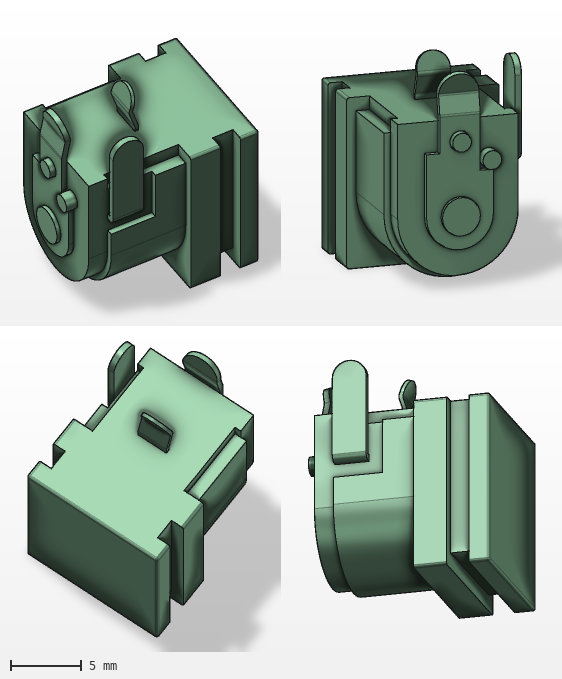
import cadquery as cq


FLANGE_WIDTH = 11.4
HEIGHT = 12.6
FLANGE_DEPTH = 5.6
FLANGE_EDGE_RADIUS = 0.2
SLOT_START = 1.5
SLOT_END = 3.18
SLOT_CORE_WIDTH = 9.3
SLOT_FLOOR = 1.2

AXIS_Z = 5.6
BODY_RADIUS = 4.5
RAIL_RADIUS = 5.0
BODY_DEPTH = 13.3
RAIL_DEPTH = 11.75
RAIL_TOP = 11.6
NECK_WIDTH = 8.0
SIDE_NOTCH_START = 8.1
SIDE_NOTCH_FLOOR = 7.63

PLATE_SHEET = 0.45
PLATE_RADIUS = 2.5
PLATE_LEFT_SHOULDER = 10.3
PLATE_RIGHT_SHOULDER = 8.81
TAB_RADIUS = 1.5
TAB_TOP = 16.07
TAB_LEAN = 0.29
TAB_BEND_LOW = 13.05
TAB_BEND_HIGH = 14.55
TAB_BEND_RADIUS = 0.4
SIDE_TAB_WIDTH = 2.5
SIDE_TAB_INSIDE = 4.78
SIDE_TAB_SHEET = 0.5
SIDE_TAB_FOOT = 8.75
SIDE_TAB_TOP = 16.2
CONTACT_SHEET = 0.3
CONTACT_RADIUS = 1.25
CONTACT_REAR = 7.25
CONTACT_LEAN = 0.5
CONTACT_BEND_LOW = 13.04
CONTACT_BEND_HIGH = 14.6
CONTACT_TOP = 16.1
CONTACT_BEND_RADIUS = 0.32
EMBED = 0.49

PIN_RADIUS = 0.7
PIN_TIP = 14.2
PIN_HOLE_RADIUS = 0.75
UPPER_PIN_Z = 11.1
SIDE_PIN_X = 2.27
SIDE_PIN_Z = 9.6
RIVET_RADIUS = 1.41
RIVET_DEPTH = 0.32

PLATE_FRONT = BODY_DEPTH + PLATE_SHEET


def block(x_min, x_max, start, end, z_min, z_max):
    """Box between two depths measured forward from the rear face."""
    size = (x_max - x_min, end - start, z_max - z_min)
    return cq.Workplane("XY").box(*size, centered=False).translate((x_min, -end, z_min))


def front_cylinder(x, z, radius, start, end):
    """Cylinder along Y between two depths."""
    plane = cq.Workplane("XZ", origin=(x, -start, z))
    return plane.circle(radius).extrude(end - start)


def u_prism(radius, start, end, top):
    """Prism with a half-round bottom about the body axis and a flat top."""
    return (
        cq.Workplane("XZ", origin=(0, -start, 0))
        .moveTo(-radius, top)
        .lineTo(-radius, AXIS_Z)
        .threePointArc((0, AXIS_Z - radius), (radius, AXIS_Z))
        .lineTo(radius, top)
        .close()
        .extrude(end - start)
    )


def make_flange():
    half = FLANGE_WIDTH / 2
    core = SLOT_CORE_WIDTH / 2
    flange = block(-half, half, 0, FLANGE_DEPTH, 0, HEIGHT)
    flange = flange.edges("|Y or >Y").fillet(FLANGE_EDGE_RADIUS)
    slot = block(-half, half, SLOT_START, SLOT_END, 0, HEIGHT)
    slot = slot.cut(block(-core, core, SLOT_START, SLOT_END, SLOT_FLOOR, HEIGHT))
    return flange.cut(slot)


def make_body():
    body = u_prism(BODY_RADIUS, FLANGE_DEPTH, BODY_DEPTH, HEIGHT)
    rail = u_prism(RAIL_RADIUS, FLANGE_DEPTH, RAIL_DEPTH, RAIL_TOP)
    body = body.union(rail)
    for side in (-1, 1):
        inner, outer = sorted((side * NECK_WIDTH / 2, side * RAIL_RADIUS))
        body = body.cut(block(inner, outer, FLANGE_DEPTH, RAIL_DEPTH, RAIL_TOP, HEIGHT))
    side_notch = block(BODY_RADIUS, RAIL_RADIUS, SIDE_NOTCH_START, RAIL_DEPTH, SIDE_NOTCH_FLOOR, RAIL_TOP)
    return body.cut(side_notch)


def bent_tab(rear, sheet, base, bend_low, bend_high, top, lean, radius, bend_radius):
    """Upright sheet leaning by `lean` (along Y) at its upper bend and back again, with a round tip."""
    slope = lean / (bend_high - bend_low)
    tip_lean = lean - slope * (top - bend_high)
    overshoot = sheet
    path = [
        (0, base),
        (0, bend_low),
        (lean, bend_high),
        (tip_lean - slope * overshoot, top + overshoot),
    ]
    rear_edge = [(y - rear, z) for y, z in path]
    front_edge = [(y - sheet, z) for y, z in rear_edge]
    tab = (
        cq.Workplane("YZ")
        .polyline(rear_edge + front_edge[::-1])
        .close()
        .extrude(radius, both=True)
    )
    hollow, full = (rear_edge, front_edge) if lean > 0 else (front_edge, rear_edge)
    corners = [
        (hollow[1], bend_radius),
        (full[1], bend_radius + sheet),
        (full[2], bend_radius),
        (hollow[2], bend_radius + sheet),
    ]
    for (y, z), corner_radius in corners:
        tab = tab.edges("|X").edges(cq.NearestToPointSelector((0, y, z))).fillet(corner_radius)

    along = cq.Vector(0, tip_lean - lean, top - bend_high).normalized()
    tip = cq.Vector(0, tip_lean - rear - sheet / 2, top)
    plane = cq.Plane(origin=tip, xDir=(1, 0, 0), normal=cq.Vector(1, 0, 0).cross(along))
    length = 2 * (top - base)
    outline = (
        cq.Workplane(plane)
        .moveTo(-radius, -length)
        .lineTo(-radius, -radius)
        .threePointArc((0, 0), (radius, -radius))
        .lineTo(radius, -length)
        .close()
        .extrude(length, both=True)
    )
    return tab.intersect(outline)


def make_front_terminal():
    plate = u_prism(PLATE_RADIUS, BODY_DEPTH, PLATE_FRONT, PLATE_LEFT_SHOULDER)
    plate = plate.cut(
        block(TAB_RADIUS, PLATE_RADIUS, BODY_DEPTH, PLATE_FRONT, PLATE_RIGHT_SHOULDER, PLATE_LEFT_SHOULDER)
    )
    tab = bent_tab(
        BODY_DEPTH, PLATE_SHEET, AXIS_Z, TAB_BEND_LOW, TAB_BEND_HIGH,
        TAB_TOP, TAB_LEAN, TAB_RADIUS, TAB_BEND_RADIUS,
    )
    terminal = plate.union(tab)
    return terminal.cut(front_cylinder(0, UPPER_PIN_Z, PIN_HOLE_RADIUS, BODY_DEPTH, PLATE_FRONT))


def make_contact():
    return bent_tab(
        CONTACT_REAR, CONTACT_SHEET, HEIGHT - EMBED, CONTACT_BEND_LOW, CONTACT_BEND_HIGH,
        CONTACT_TOP, -CONTACT_LEAN, CONTACT_RADIUS, CONTACT_BEND_RADIUS,
    )


def make_side_terminal():
    outside = SIDE_TAB_INSIDE + SIDE_TAB_SHEET
    start = RAIL_DEPTH - SIDE_TAB_WIDTH
    radius = SIDE_TAB_WIDTH / 2
    upright = (
        cq.Workplane("YZ", origin=(SIDE_TAB_INSIDE, -start - radius, 0))
        .moveTo(-radius, SIDE_TAB_FOOT)
        .lineTo(-radius, SIDE_TAB_TOP - radius)
        .threePointArc((0, SIDE_TAB_TOP), (radius, SIDE_TAB_TOP - radius))
        .lineTo(radius, SIDE_TAB_FOOT)
        .close()
        .extrude(SIDE_TAB_SHEET)
    )
    foot_top = SIDE_TAB_FOOT + SIDE_TAB_SHEET
    foot = block(BODY_RADIUS - EMBED, outside, start, RAIL_DEPTH, SIDE_TAB_FOOT, foot_top)
    return upright.union(foot).edges("|Y and >X and <Z").fillet(SIDE_TAB_SHEET)


result = make_flange().union(make_body())
result = result.union(make_front_terminal())
result = result.union(make_contact())
result = result.union(make_side_terminal())
result = result.union(front_cylinder(0, UPPER_PIN_Z, PIN_RADIUS, BODY_DEPTH, PIN_TIP))
result = result.union(front_cylinder(SIDE_PIN_X, SIDE_PIN_Z, PIN_RADIUS, BODY_DEPTH, PIN_TIP))
result = result.union(front_cylinder(0, AXIS_Z, RIVET_RADIUS, PLATE_FRONT, PLATE_FRONT + RIVET_DEPTH))